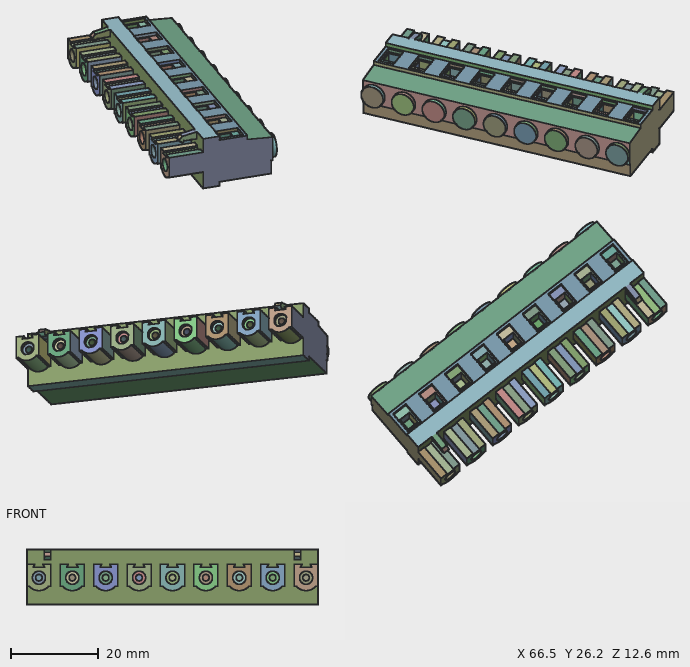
import cadquery as cq


way_count = 9
pitch = 7.62
finger_width = 5.5
row_length = (way_count - 1) * pitch + finger_width

height = 12.6
flange_depth = 4.0
flange_step = 1.0
deck_back = 10.8
housing_back = 17.0
lower_back = 16.6
lower_back_top = 4.3
slope_front_height = 10.65
slope_back_height = 10.2
deck_height = height - flange_step

finger_length = 8.25
finger_top = 9.2
finger_shoulder = 4.15
barrel_height = 6.15
barrel_radius = 2.95
groove_mouth = finger_width / 3
groove_floor = 2.6
groove_depth = 0.65
socket_diameter = 3.0
socket_depth = 1.0
contact_diameter = 1.5
contact_depth = 6.0

screw_diameter = 5.5
screw_height = 6.8
screw_back = 18.0

well_width = 3.75
well_front = 4.6
well_back = 10.1
well_depth = 0.8
opening_width = 2.8
opening_front = 5.2
opening_back = 8.2
opening_depth = 5.0

latch_width = 1.5
latch_offset = row_length / 2 - finger_width + latch_width / 2
latch_underside = 10.8
latch_nose = (-3.6, 12.0)
latch_tip = (-4.45, 11.05)
latch_barb = (-3.55, 10.3)
latch_neck = -3.1

way_positions = [(i - (way_count - 1) / 2) * pitch for i in range(way_count)]


def box_between(x_center, width, y_front, y_back, z_bottom, z_top):
    """Box centred on x_center and spanning the given Y and Z ranges."""
    return (
        cq.Workplane("XY")
        .box(width, y_back - y_front, z_top - z_bottom, centered=(True, False, False))
        .translate((x_center, y_front, z_bottom))
    )


def cylinder_along_y(x_center, z_center, diameter, y_front, y_back):
    """Cylinder with its axis along Y."""
    return (
        cq.Workplane("XZ", origin=(x_center, y_back, z_center))
        .circle(diameter / 2)
        .extrude(y_back - y_front)
    )


def make_housing():
    """Stepped side profile extruded along the whole row."""
    profile = [
        (0, 0),
        (flange_depth, 0),
        (flange_depth, flange_step),
        (lower_back, flange_step),
        (lower_back, lower_back_top),
        (housing_back, lower_back_top),
        (housing_back, slope_back_height),
        (deck_back, slope_front_height),
        (deck_back, deck_height),
        (flange_depth, deck_height),
        (flange_depth, height),
        (0, height),
    ]
    return cq.Workplane("YZ").polyline(profile).close().extrude(row_length / 2, both=True)


def make_finger(x_center):
    """Plug finger: block with a rounded belly and a dovetail groove on top."""
    block = box_between(x_center, finger_width, -finger_length, 0, finger_shoulder, finger_top)
    belly = cylinder_along_y(x_center, barrel_height, 2 * barrel_radius, -finger_length, 0)
    belly_limits = box_between(
        x_center, finger_width, -finger_length, 0, barrel_height - barrel_radius, barrel_height
    )
    groove = (
        cq.Workplane("XZ", origin=(x_center, 0, finger_top))
        .polyline([
            (-groove_mouth / 2, 0),
            (groove_mouth / 2, 0),
            (groove_floor / 2, -groove_depth),
            (-groove_floor / 2, -groove_depth),
        ])
        .close()
        .extrude(finger_length)
    )
    return block.union(belly.intersect(belly_limits)).cut(groove)


def make_socket(x_center):
    """Counterbored contact hole in the tip of a finger."""
    socket = cylinder_along_y(
        x_center, barrel_height, socket_diameter, -finger_length, socket_depth - finger_length
    )
    contact = cylinder_along_y(
        x_center, barrel_height, contact_diameter, -finger_length, contact_depth - finger_length
    )
    return socket.union(contact)


def make_well(x_center):
    """Shallow rectangular well with a deeper opening in its floor."""
    well = box_between(
        x_center, well_width, well_front, well_back, deck_height - well_depth, deck_height
    )
    opening = box_between(
        x_center, opening_width, opening_front, opening_back, deck_height - opening_depth, deck_height
    )
    return well.union(opening)


def make_latch(x_center):
    """Barbed hook reaching forward from the top of the flange."""
    profile = [
        (0, height),
        latch_nose,
        latch_tip,
        latch_barb,
        (latch_neck, latch_underside),
        (0, latch_underside),
    ]
    return (
        cq.Workplane("YZ", origin=(x_center, 0, 0))
        .polyline(profile)
        .close()
        .extrude(latch_width / 2, both=True)
    )


result = make_housing()
for x in way_positions:
    result = result.union(make_finger(x))
    result = result.union(cylinder_along_y(x, screw_height, screw_diameter, housing_back, screw_back))
    result = result.cut(make_socket(x)).cut(make_well(x))
for side in (-1, 1):
    result = result.union(make_latch(side * latch_offset))